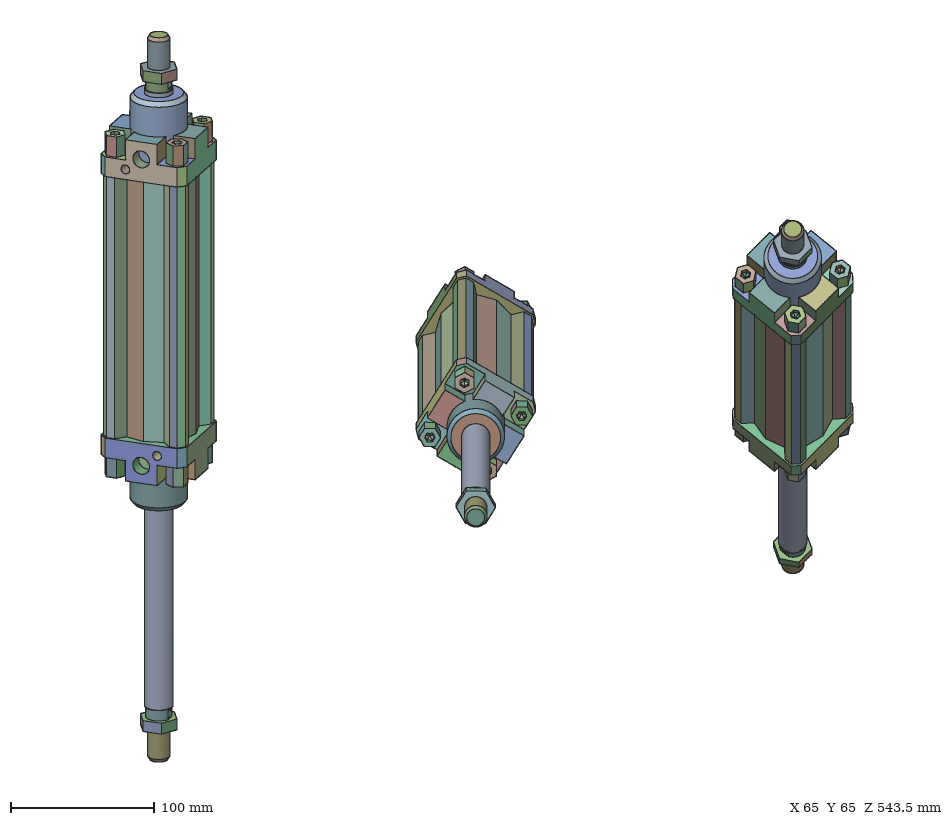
import cadquery as cq
import math


body_length = 256.0
cap_width = 65.0
cap_height = 30.0
cap_corner_chamfer = 5.15
web_width = 24.0
pocket_depth = 15.0
tower_pitch = 47.0
tower_across_corners = 15.0
socket_across_corners = 7.0
socket_tip_across_corners = 0.5
socket_depth = 4.0
socket_point_depth = 2.0
boss_diameter = 40.0
boss_length = 25.5
boss_chamfer_width = 2.5
boss_chamfer_height = 3.0

port_diameter = 12.5
port_inset = 13.0
port_depth = 11.0
cushion_diameter = 6.5
cushion_inset = 22.5
cushion_offset = 12.0
cushion_depth = 11.0

barrel_width = 62.0
barrel_corner_chamfer = 4.5
recess_half_width = 20.5
recess_valley_offset = 14.0
recess_valley_depth = 6.5
recess_ridge_depth = 2.5

stroke = 149.5
rod_reach = 69.0
rod_diameter = 20.0
stud_diameter = 16.0
stud_length = 32.0
stud_chamfer_width = 1.5
stud_chamfer_height = 2.5
neck_diameter = 18.5
neck_length = 8.0
neck_flats = 17.0
flat_length = 6.5
nut_across_flats = 24.0
nut_thickness = 8.0

half_body = body_length / 2
barrel_half_length = half_body - cap_height
upper_tip = half_body + rod_reach
lower_tip = -half_body - rod_reach - stroke


def make_barrel():
    half = barrel_width / 2
    corner = half - barrel_corner_chamfer
    side = [
        (-corner, -half),
        (-recess_half_width, -half),
        (-recess_valley_offset, -half + recess_valley_depth),
        (0, -half + recess_ridge_depth),
        (recess_valley_offset, -half + recess_valley_depth),
        (recess_half_width, -half),
        (corner, -half),
    ]
    outline = []
    for _ in range(4):
        outline += side
        side = [(-y, x) for x, y in side]
    return cq.Workplane("XY").polyline(outline).close().extrude(barrel_half_length, both=True)


def front_hole(x, z, diameter, depth):
    """Cutter for a blind hole going into the -Y face of a cap."""
    return (
        cq.Workplane("XZ", origin=(x, -cap_width / 2, z))
        .circle(diameter / 2)
        .extrude(-depth)
    )


def make_tower(pocket_floor):
    """Hexagonal screw tower of the -X, -Y corner; the socket in its top tapers at the bottom."""
    axis = -tower_pitch / 2
    tower = (
        cq.Workplane("XY", origin=(axis, axis, pocket_floor))
        .polygon(6, tower_across_corners)
        .extrude(pocket_depth)
    )
    socket = (
        cq.Workplane("XY", origin=(axis, axis, half_body))
        .polygon(6, socket_across_corners)
        .extrude(-socket_depth)
    )
    socket_point = (
        cq.Workplane("XY", origin=(axis, axis, half_body - socket_depth))
        .polygon(6, socket_across_corners)
        .workplane(offset=-socket_point_depth)
        .polygon(6, socket_tip_across_corners)
        .loft(ruled=True)
    )
    return tower.cut(socket).cut(socket_point)


def make_cap(cushion_x):
    """Upper end cap with its boss and the cushioning screw hole at the given X."""
    pocket_floor = half_body - pocket_depth
    plate = (
        cq.Workplane("XY", origin=(0, 0, barrel_half_length))
        .rect(cap_width, cap_width)
        .extrude(pocket_floor - barrel_half_length)
        .edges("|Z")
        .chamfer(cap_corner_chamfer)
    )
    upper = cq.Workplane("XY", origin=(0, 0, pocket_floor))
    web_along_x = upper.rect(cap_width, web_width).extrude(pocket_depth)
    web_along_y = upper.rect(web_width, cap_width).extrude(pocket_depth)
    boss = (
        upper.circle(boss_diameter / 2)
        .extrude(pocket_depth + boss_length)
        .faces(">Z")
        .chamfer(boss_chamfer_height, boss_chamfer_width)
    )
    port = front_hole(0, half_body - port_inset, port_diameter, port_depth)
    cushion = front_hole(cushion_x, half_body - cushion_inset, cushion_diameter, cushion_depth)
    tower = make_tower(pocket_floor)
    cap = plate.union(web_along_x).union(web_along_y).union(boss)
    for angle in (0, 90, 180, 270):
        cap = cap.union(tower.rotate((0, 0, 0), (0, 0, 1), angle))
    return cap.cut(port).cut(cushion)


def make_housing():
    upper_cap = make_cap(-cushion_offset)
    lower_cap = make_cap(cushion_offset).mirror("XY")
    bore = cq.Workplane("XY").circle(rod_diameter / 2).extrude(half_body + boss_length, both=True)
    return make_barrel().union(upper_cap).union(lower_cap).cut(bore)


def rod_end(tip):
    """Stud and flatted neck of a rod end pointing up, with its tip at the given height."""
    shoulder = tip - stud_length - neck_length
    neck = cq.Workplane("XY", origin=(0, 0, shoulder)).circle(neck_diameter / 2).extrude(neck_length)
    flat_cuts = (
        cq.Workplane("XY", origin=(0, 0, tip - stud_length))
        .rect(rod_diameter, rod_diameter)
        .rect(neck_flats, rod_diameter)
        .extrude(-flat_length)
    )
    stud = (
        cq.Workplane("XY", origin=(0, 0, tip - stud_length))
        .circle(stud_diameter / 2)
        .extrude(stud_length)
        .faces(">Z")
        .chamfer(stud_chamfer_height, stud_chamfer_width)
    )
    return neck.cut(flat_cuts).union(stud)


def make_rod():
    end_length = stud_length + neck_length
    shaft_bottom = lower_tip + end_length
    shaft_length = upper_tip - end_length - shaft_bottom
    shaft = cq.Workplane("XY", origin=(0, 0, shaft_bottom)).circle(rod_diameter / 2).extrude(shaft_length)
    return shaft.union(rod_end(upper_tip)).union(rod_end(-lower_tip).mirror("XY"))


def make_nut(bottom):
    """Hexagon nut with corners along X."""
    across_corners = nut_across_flats / math.cos(math.pi / 6)
    return (
        cq.Workplane("XY", origin=(0, 0, bottom))
        .polygon(6, across_corners)
        .circle(stud_diameter / 2)
        .extrude(nut_thickness)
    )


housing = make_housing()
rod = make_rod()
nut_bottoms = [upper_tip - stud_length, lower_tip + stud_length - nut_thickness]
nuts = [make_nut(bottom) for bottom in nut_bottoms]

result = cq.Compound.makeCompound([housing.val(), rod.val(), *[nut.val() for nut in nuts]])